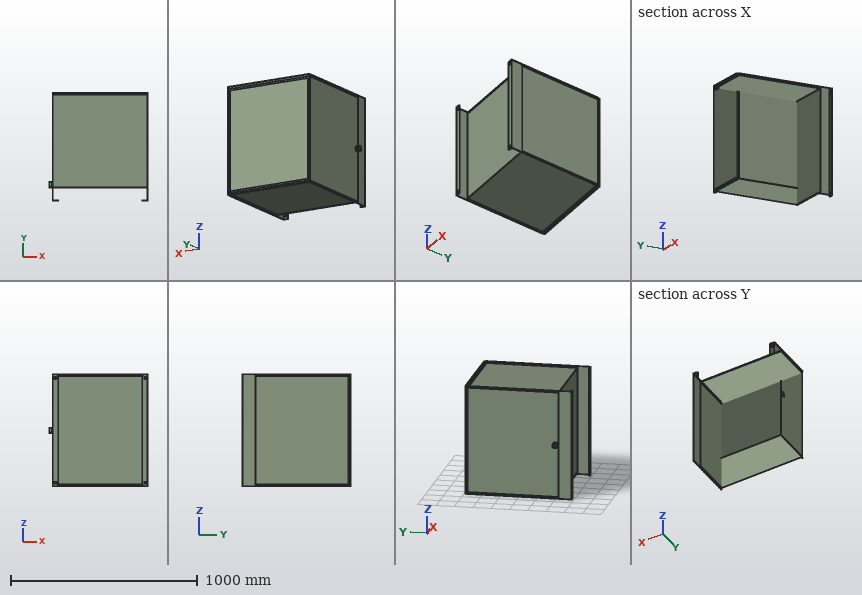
import cadquery as cq

body_width = 510.0
depth = 579.0
height = 600.0
sheet = 2.4

door_thickness = 6.0
door_corner_radius = 4.0

door_gap = 3.5
seal_width = 10.0
seal_overlap = sheet

front_setback = 70.0
top_inset = 8.5

flange_width = 30.0
flange_corner_radius = 8.0
slot_width = 11.0
slot_length = 13.0
round_hole_diameter = 11.0
hole_from_side = 15.0
hole_from_end = 20.0

bush_diameter = 30.0
bush_bore = 19.0
bush_length = 18.0
bush_bore_depth = 14.0
bush_y = 86.5
bush_z = height / 2

half_width = body_width / 2
half_inner_width = half_width - sheet
door_front_y = depth - door_thickness
body_rear_y = door_front_y - door_gap


def slab(half_x, y_min, y_max, z_margin):
    """Box centred on X = 0, keeping z_margin from both ends of the height."""
    size_z = height - 2 * z_margin
    return cq.Workplane("XY").box(2 * half_x, y_max - y_min, size_z).translate(
        (0, (y_min + y_max) / 2, height / 2)
    )


def make_box():
    """Top, bottom and front sheets, open towards the door."""
    outside = slab(half_inner_width, front_setback, body_rear_y, top_inset)
    cavity = slab(half_inner_width, front_setback + sheet, body_rear_y, top_inset + sheet)
    return outside.cut(cavity)


def make_side_panels():
    """Two flat side sheets over the full height."""
    outside = slab(half_width, 0, body_rear_y, 0)
    return outside.cut(slab(half_inner_width, 0, body_rear_y, 0))


def make_seal():
    """Rectangular frame inside the box opening, reaching back to the door."""
    y_min = body_rear_y - seal_overlap
    z_margin = top_inset + sheet
    outside = slab(half_inner_width, y_min, door_front_y, z_margin)
    opening = slab(half_inner_width - seal_width, y_min, door_front_y, z_margin + seal_width)
    return outside.cut(opening)


def make_door():
    """Flat rear door with rounded corners."""
    door = slab(half_width, door_front_y, depth, 0)
    return door.edges("|Y").fillet(door_corner_radius)


def make_flange(side):
    """Front flange with rounded inner corners; side is -1 at -X and +1 at +X."""
    x_centre = side * (half_width - flange_width / 2)
    flange = slab(flange_width / 2, 0, sheet, 0).translate((x_centre, 0, 0))
    inner_face = ">X" if side < 0 else "<X"
    return flange.faces(inner_face).edges("|Y").fillet(flange_corner_radius)


def make_flange_holes(side):
    """Cutters for the two holes of a flange: slots at -X, round holes at +X."""
    x_hole = side * (half_width - hole_from_side)
    centres = [(x_hole, hole_from_end), (x_hole, height - hole_from_end)]
    outline = cq.Workplane("XZ").pushPoints(centres)
    if side < 0:
        outline = outline.slot2D(slot_length, slot_width)
    else:
        outline = outline.circle(round_hole_diameter / 2)
    return outline.extrude(-sheet)


def make_bush():
    """Round lock bush with a blind bore in its outer end."""
    return (
        cq.Workplane("YZ", origin=(-half_width - bush_length, bush_y, bush_z))
        .circle(bush_diameter / 2)
        .extrude(bush_length)
        .faces("<X")
        .workplane()
        .hole(bush_bore, bush_bore_depth)
    )


result = make_box().union(make_side_panels())
result = result.union(make_seal()).union(make_door())
for flange_side in (-1, 1):
    result = result.union(make_flange(flange_side))
    result = result.cut(make_flange_holes(flange_side))
result = result.union(make_bush())